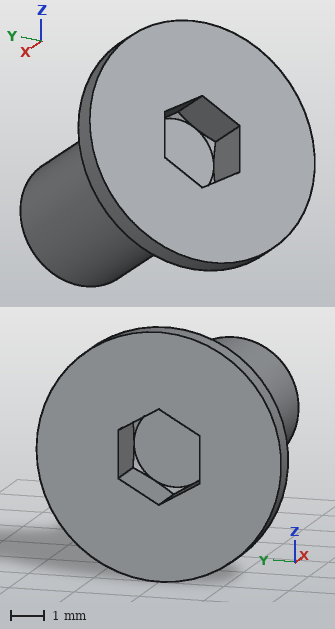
import cadquery as cq
import math

length = 8
head_diameter = 7.53
shank_diameter = 4
rim_thickness = 0.72
tip_chamfer = 0.42
socket_width = 2.5
socket_corner_depth = 1.5
floor_cone_angle = 30

head_radius = head_diameter / 2
shank_radius = shank_diameter / 2
cone_length = head_radius - shank_radius
head_height = rim_thickness + cone_length
socket_inradius = socket_width / 2
socket_circumradius = socket_width / math.sqrt(3)
floor_cone_height = (socket_circumradius - socket_inradius) * math.tan(math.radians(floor_cone_angle))
socket_depth = socket_corner_depth + floor_cone_height


def screw_body():
    """Revolve the half profile of head, shank and chamfered tip about X."""
    return (
        cq.Workplane("XY")
        .polyline([
            (0, 0),
            (0, head_radius),
            (rim_thickness, head_radius),
            (head_height, shank_radius),
            (length - tip_chamfer, shank_radius),
            (length, shank_radius - tip_chamfer),
            (length, 0),
        ])
        .close()
        .revolve(360, (0, 0, 0), (1, 0, 0))
    )


def hex_socket():
    """Hexagonal prism with corners on +Z and -Z, its floor a flat disc with conical corners."""
    prism = (
        cq.Workplane("YZ")
        .polygon(6, 2 * socket_circumradius)
        .extrude(socket_depth)
        .rotate((0, 0, 0), (1, 0, 0), 90)
    )
    floor_envelope = (
        cq.Workplane("XY")
        .polyline([
            (0, 0),
            (0, socket_circumradius),
            (socket_corner_depth, socket_circumradius),
            (socket_depth, socket_inradius),
            (socket_depth, 0),
        ])
        .close()
        .revolve(360, (0, 0, 0), (1, 0, 0))
    )
    return prism.intersect(floor_envelope)


result = screw_body().cut(hex_socket())